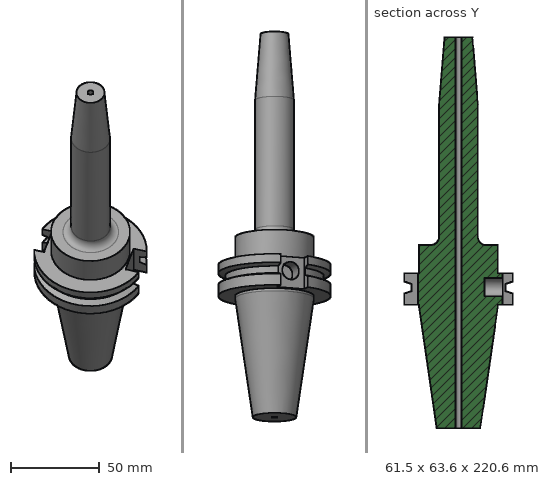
import cadquery as cq
import math

gauge_z = 68.5
flange_bottom_z = 69.7
flange_top_z = 87.5
collar_top_z = 103.5
nose_start_z = 182.7
total_length = 220.6

taper_end_radius = 12.4
gauge_radius = 22.3
flange_radius = 31.8
collar_radius = gauge_radius
shank_radius = 11.0
nose_tip_radius = 8.0
shank_fillet = 4.6

groove_radius = 27.8
groove_bottom_z = 76.1
groove_top_z = 82.7
groove_flank_height = 1.3

slot_width = 16.3
deep_slot_floor = 23.0
shallow_slot_floor = 25.0

bore_diameter = 3.3
dimple_diameter = 10.1
dimple_depth = 10.1
dimple_z = 79.7


def turned_body():
    """Revolve the half profile of the holder about the Z axis."""
    arc_center_r = shank_radius + shank_fillet
    arc_center_z = collar_top_z + shank_fillet
    arc_mid_offset = shank_fillet * math.sqrt(0.5)
    profile = (
        cq.Workplane("XZ")
        .moveTo(0, 0)
        .lineTo(taper_end_radius, 0)
        .lineTo(gauge_radius, gauge_z)
        .lineTo(gauge_radius, flange_bottom_z)
        .lineTo(flange_radius, flange_bottom_z)
        .lineTo(flange_radius, groove_bottom_z)
        .lineTo(groove_radius, groove_bottom_z + groove_flank_height)
        .lineTo(groove_radius, groove_top_z - groove_flank_height)
        .lineTo(flange_radius, groove_top_z)
        .lineTo(flange_radius, flange_top_z)
        .lineTo(collar_radius, flange_top_z)
        .lineTo(collar_radius, collar_top_z)
        .lineTo(arc_center_r, collar_top_z)
        .threePointArc(
            (arc_center_r - arc_mid_offset, arc_center_z - arc_mid_offset),
            (shank_radius, arc_center_z),
        )
        .lineTo(shank_radius, nose_start_z)
        .lineTo(nose_tip_radius, total_length)
        .lineTo(0, total_length)
        .close()
    )
    return profile.revolve(360, (0, 0, 0), (0, 1, 0))


def drive_slot(floor_x, side):
    """Block that notches the flange outward from floor_x; side is +1 or -1 along X."""
    slot_center_x = side * (floor_x + flange_radius / 2)
    return (
        cq.Workplane("XY", origin=(slot_center_x, 0, flange_bottom_z))
        .rect(flange_radius, slot_width)
        .extrude(flange_top_z - flange_bottom_z)
    )


def axial_bore():
    return cq.Workplane("XY").circle(bore_diameter / 2).extrude(total_length)


def slot_floor_dimple():
    """Blind flat-bottomed hole in the floor of the shallow slot on the -X side."""
    return (
        cq.Workplane("YZ", origin=(-shallow_slot_floor, 0, dimple_z))
        .circle(dimple_diameter / 2)
        .extrude(dimple_depth)
    )


result = (
    turned_body()
    .cut(drive_slot(shallow_slot_floor, -1))
    .cut(drive_slot(deep_slot_floor, 1))
    .cut(axial_bore())
    .cut(slot_floor_dimple())
)